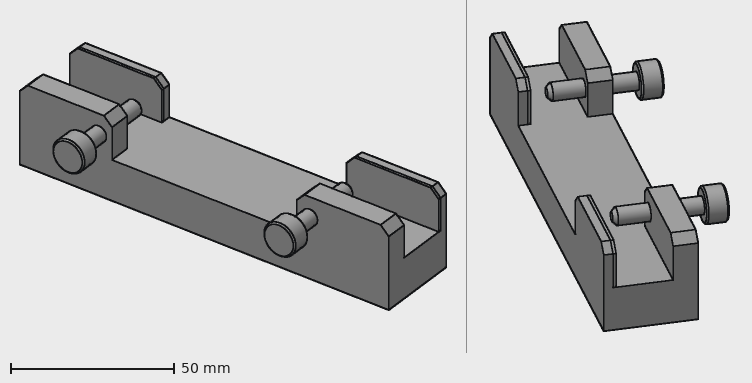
import cadquery as cq

length = 140.0
width = 30.0
height = 30.0
floor_height = 15.0
end_length = 35.0
corner_chamfer = 3.1
jaw_thickness = 8.0
wall_thickness = 3.0
pad_thickness = 1.0

screw_inset = 30.0
screw_height = 22.5
screw_diameter = 5.9
screw_reach = 19.7
tip_chamfer = 1.4
knob_diameter = 12.0
knob_thickness = 7.1
knob_gap = 9.0
knob_chamfer = 0.5

wall_height = height - floor_height
wall_rear = width - wall_thickness
end_centres = [side * (length - end_length) / 2 for side in (-1, 1)]
screw_positions = [side * (length / 2 - screw_inset) for side in (-1, 1)]


def wall_plate(x_centre, y_front, thickness):
    """Upright plate standing on the floor, with its two upper corners chamfered."""
    return (
        cq.Workplane("XY")
        .box(end_length, thickness, wall_height, centered=(True, False, False))
        .edges("|Y and >Z")
        .chamfer(corner_chamfer)
        .translate((x_centre, y_front, floor_height))
    )


def rod(diameter, x_centre, y_front, rod_length):
    """Round bar along Y on the screw axis."""
    axis_start = cq.Workplane("XZ", origin=(x_centre, y_front, screw_height))
    return axis_start.circle(diameter / 2).extrude(-rod_length)


def make_base():
    base = cq.Workplane("XY").box(length, width, floor_height, centered=(True, False, False))
    for x in end_centres:
        base = base.union(wall_plate(x, 0, jaw_thickness))
        base = base.union(wall_plate(x, wall_rear, wall_thickness))
    for x in screw_positions:
        base = base.cut(rod(screw_diameter, x, 0, jaw_thickness))
    return base


def make_pad(x_centre):
    return wall_plate(x_centre, wall_rear - pad_thickness, pad_thickness)


def make_screw(x_centre):
    screw = rod(screw_diameter, x_centre, -knob_gap, knob_gap + screw_reach)
    return screw.faces(">Y").chamfer(tip_chamfer)


def make_knob(x_centre):
    knob = rod(knob_diameter, x_centre, -knob_gap - knob_thickness, knob_thickness)
    return knob.faces("<Y or >Y").edges().chamfer(knob_chamfer)


base = make_base()
pads = [make_pad(x).val() for x in end_centres]
screws = [make_screw(x).val() for x in screw_positions]
knobs = [make_knob(x).val() for x in screw_positions]

result = cq.Compound.makeCompound([base.val(), *pads, *screws, *knobs])